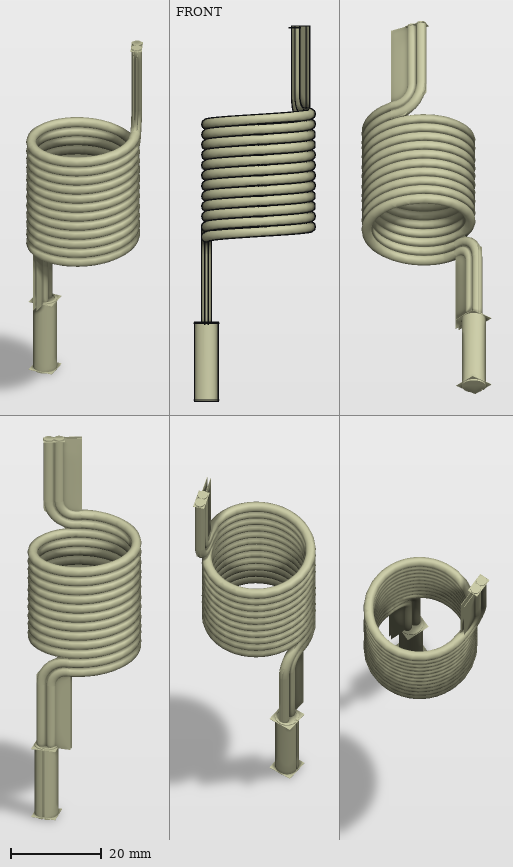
import cadquery as cq
import math

total_height = 82.8
sleeve_height = 17.55
coil_start_height = 37.4
coil_rise = 25.1

strand_diameter = 2.2
core_diameter = 1.0

coil_outer_radius = 12.6
coil_radius = coil_outer_radius - strand_diameter / 2
start_angle = 180.0
end_angle = 20.0
full_turns = 5
turns = full_turns + (end_angle + 360 - start_angle) / 360
pitch = coil_rise / turns
strand_spacing = pitch / 2
strand_offsets = (-strand_spacing / 2, strand_spacing / 2)
coil_end_height = coil_start_height + coil_rise

bend_radius = 4.9
lower_stub = 0.5
upper_stub = 1.1

sheet_thickness = 0.1
sheet_margin = 0.25
fin_chamfer = 5.0
fin_span = 0.9
cap_side = strand_diameter + sheet_margin
cap_inset = 0.4

sleeve_diameter = 5.3
sleeve_recess_diameter = 4.3
sleeve_recess_depth = 0.25
flange_side = sleeve_diameter + sheet_margin
bottom_flange_height = 0.4
seam_width = 0.5
seam_depth = (sleeve_diameter - sleeve_recess_diameter) / 2
lead_foot_height = sleeve_height - sleeve_recess_depth
lead_axis_distance = lower_stub + bend_radius


class Lead:
    """One end of the strand pair, in a vertical plane tangent to the coil."""

    def __init__(self, angle, outward, height, turn, stub, end_height):
        sine = math.sin(math.radians(angle))
        cosine = math.cos(math.radians(angle))
        self.tangent = cq.Vector(-sine * outward, cosine * outward, 0)
        self.origin = cq.Vector(coil_radius * cosine, coil_radius * sine, height)
        self.plane = cq.Plane(self.origin, self.tangent, self.tangent.cross(cq.Vector(0, 0, 1)))
        self.turn = turn
        self.stub = stub
        self.run_end = end_height - height

    def strand_bend_radius(self, offset):
        return bend_radius - self.turn * offset

    def axis_distance(self, offset):
        return self.stub + self.strand_bend_radius(offset)

    def path(self, offset):
        radius = self.strand_bend_radius(offset)
        half_bend = math.radians(45)
        bend_middle = (
            self.stub + radius * math.sin(half_bend),
            offset + self.turn * radius * (1 - math.cos(half_bend)),
        )
        bend_end = (self.stub + radius, offset + self.turn * radius)
        return (
            cq.Workplane(self.plane)
            .moveTo(0, offset)
            .lineTo(self.stub, offset)
            .threePointArc(bend_middle, bend_end)
            .lineTo(self.stub + radius, self.run_end)
        )

    def rod(self, offset, diameter):
        section = cq.Plane(self.origin + cq.Vector(0, 0, offset), (0, 0, 1), self.tangent)
        return cq.Workplane(section).circle(diameter / 2).sweep(self.path(offset))


lower_lead = Lead(start_angle, -1, coil_start_height, -1, lower_stub, lead_foot_height)
upper_lead = Lead(end_angle, 1, coil_end_height, 1, upper_stub, total_height)
leads = (lower_lead, upper_lead)


def coil_rod(offset, diameter):
    helix = cq.Wire.makeHelix(pitch, coil_rise, coil_radius)
    rod = cq.Workplane("XZ").center(coil_radius, 0).circle(diameter / 2).sweep(helix, isFrenet=True)
    return rod.rotate((0, 0, 0), (0, 0, 1), start_angle).translate((0, 0, coil_start_height + offset))


def full_rod(offset, diameter):
    """Coil plus both leads of one strand, at the given diameter."""
    rod = coil_rod(offset, diameter)
    for lead in leads:
        rod = rod.union(lead.rod(offset, diameter))
    return rod


def lead_fins(lead, run_end):
    """Two parallel sheets with one chamfered corner that join both strands of a lead."""
    half_pair = (strand_spacing + strand_diameter) / 2
    outer_distance = lead.stub + bend_radius + half_pair
    coil_side = -lead.turn * half_pair
    chamfer_end = coil_side + lead.turn * fin_chamfer
    fin = (
        cq.Workplane(lead.plane)
        .moveTo(-sheet_margin, coil_side)
        .lineTo(outer_distance - fin_chamfer, coil_side)
        .lineTo(outer_distance, chamfer_end)
        .lineTo(outer_distance, run_end)
        .lineTo(-sheet_margin, run_end)
        .close()
        .extrude(sheet_thickness)
    )
    normal = lead.plane.zDir
    return [
        fin.translate(normal * (fin_span / 2 - sheet_thickness)),
        fin.translate(normal * (-fin_span / 2)),
    ]


def lead_cap(lead, offset):
    """Square sheet around one strand, just below its upper end."""
    return (
        cq.Workplane(lead.plane)
        .center(lead.axis_distance(offset), lead.run_end - cap_inset)
        .box(cap_side, sheet_thickness, cap_side)
    )


cores = [full_rod(offset, core_diameter) for offset in strand_offsets]


def make_jacket():
    jacket = full_rod(strand_offsets[0], strand_diameter)
    jacket = jacket.union(full_rod(strand_offsets[1], strand_diameter))
    for fin in lead_fins(lower_lead, lower_lead.run_end - sheet_margin):
        jacket = jacket.union(fin)
    for fin in lead_fins(upper_lead, upper_lead.run_end):
        jacket = jacket.union(fin)
    for offset in strand_offsets:
        jacket = jacket.union(lead_cap(upper_lead, offset))
    for core in cores:
        jacket = jacket.cut(core)
    return jacket


jacket = make_jacket()


def sleeve_flange(top_height):
    return (
        cq.Workplane("XY", origin=(0, 0, top_height - sheet_thickness))
        .rect(flange_side, flange_side)
        .extrude(sheet_thickness)
    )


def make_sleeve():
    sleeve = cq.Workplane("XY").circle(sleeve_diameter / 2).extrude(sleeve_height)
    recess = (
        cq.Workplane("XY", origin=(0, 0, lead_foot_height))
        .circle(sleeve_recess_diameter / 2)
        .extrude(sleeve_recess_depth)
    )
    seam = (
        cq.Workplane("XY")
        .center(-sleeve_diameter / 2, 0)
        .rect(2 * seam_depth, seam_width)
        .extrude(sleeve_height)
    )
    sleeve = sleeve.cut(recess).cut(seam)
    for top_height in (bottom_flange_height, lead_foot_height):
        sleeve = sleeve.union(sleeve_flange(top_height))
    sleeve = sleeve.translate((-coil_radius, lead_axis_distance, 0))
    return sleeve.cut(jacket)


sleeve = make_sleeve()

bodies = [jacket, *cores, sleeve]
result = cq.Compound.makeCompound([body.solids().val() for body in bodies])